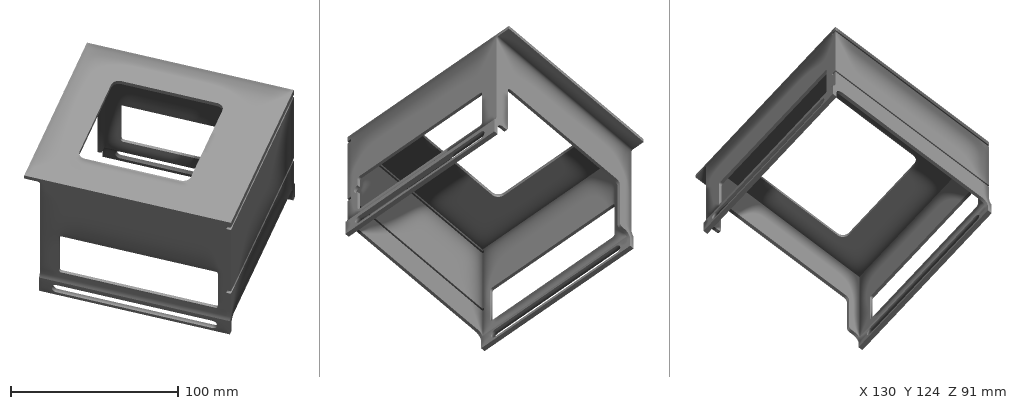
import cadquery as cq
import math

BODY_LENGTH = 120.0
BODY_WIDTH = 120.0
HEIGHT = 91.0
PLATE_THICKNESS = 2.5
END_WALL_THICKNESS = 2.0
SIDE_WALL_THICKNESS = 2.0

LIP_LENGTH = 10.0
LIP_FILLET = 1.5

FOOT_HEIGHT = 11.0
FOOT_OFFSET = 2.0
FOOT_THICKNESS = 3.0
FLARE_RADIUS = 8.0
FOOT_INNER_RADIUS = 5.0
FOOT_SLOT_LENGTH = 104.0
FOOT_SLOT_WIDTH = 6.0
FOOT_SLOT_Z = 5.0

TOP_OPENING = 70.0
TOP_OPENING_X = 15.0
TOP_OPENING_RADIUS = 5.0

WINDOW_LENGTH = 100.0
WINDOW_HEIGHT = 30.0
WINDOW_X = 11.8
WINDOW_Z = 17.4
WINDOW_RADIUS = 1.5
NOTCH_RADIUS = 3.0
NOTCH_Z = 37.0

FRONT_OPENING_WIDTH = 100.0
FRONT_OPENING_HEIGHT = 40.0
FRONT_OPENING_RADIUS = 3.0
FRONT_FLARE_RADIUS = 2.0

REAR_SLOT_HEIGHT = 2.0
REAR_SLOT_DEPTH = 3.0
REAR_SLOT_DROPS = (4.0, 57.0)

HALF_WIDTH = BODY_WIDTH / 2
FOOT_OUTER_Y = HALF_WIDTH + FOOT_OFFSET
FOOT_INNER_Y = FOOT_OUTER_Y - FOOT_THICKNESS
FULL_WIDTH = 2 * FOOT_OUTER_Y
FLARE_HEIGHT = math.sqrt(FLARE_RADIUS**2 - (FLARE_RADIUS - FOOT_OFFSET) ** 2)
FLARE_TOP_Z = FOOT_HEIGHT + FLARE_HEIGHT


def make_outer_profile():
    """Extrude the cross-section of the body and both feet along X, without the cavity."""
    half_angle = math.asin(FLARE_HEIGHT / FLARE_RADIUS) / 2
    flare_mid_y = HALF_WIDTH + FLARE_RADIUS * (1 - math.cos(half_angle))
    flare_mid_z = FLARE_TOP_Z - FLARE_RADIUS * math.sin(half_angle)
    inner_center_y = FOOT_INNER_Y - FOOT_INNER_RADIUS
    inner_center_z = FOOT_HEIGHT - FOOT_INNER_RADIUS
    inner_diagonal = FOOT_INNER_RADIUS * math.sqrt(0.5)
    half_profile = (
        cq.Workplane("YZ")
        .moveTo(0, HEIGHT)
        .lineTo(HALF_WIDTH, HEIGHT)
        .lineTo(HALF_WIDTH, FLARE_TOP_Z)
        .threePointArc((flare_mid_y, flare_mid_z), (FOOT_OUTER_Y, FOOT_HEIGHT))
        .lineTo(FOOT_OUTER_Y, 0)
        .lineTo(FOOT_INNER_Y, 0)
        .lineTo(FOOT_INNER_Y, inner_center_z)
        .threePointArc(
            (inner_center_y + inner_diagonal, inner_center_z + inner_diagonal),
            (inner_center_y, FOOT_HEIGHT),
        )
        .lineTo(0, FOOT_HEIGHT)
        .close()
        .extrude(BODY_LENGTH)
    )
    return half_profile.union(half_profile.mirror("XZ"))


def make_cavity():
    """Inside of the box, open at the bottom."""
    return cq.Workplane("XY").box(
        BODY_LENGTH - 2 * END_WALL_THICKNESS,
        BODY_WIDTH - 2 * SIDE_WALL_THICKNESS,
        HEIGHT - PLATE_THICKNESS,
        centered=(False, True, False),
    ).translate((END_WALL_THICKNESS, 0, 0))


def make_lip():
    """Overhang of the top plate, with a fillet where it meets the front wall."""
    plate_bottom = HEIGHT - PLATE_THICKNESS
    fillet_diagonal = LIP_FILLET * (1 - math.sqrt(0.5))
    return (
        cq.Workplane("XZ")
        .moveTo(END_WALL_THICKNESS, HEIGHT)
        .lineTo(-LIP_LENGTH, HEIGHT)
        .lineTo(-LIP_LENGTH, plate_bottom)
        .lineTo(-LIP_FILLET, plate_bottom)
        .threePointArc(
            (-fillet_diagonal, plate_bottom - fillet_diagonal),
            (0, plate_bottom - LIP_FILLET),
        )
        .lineTo(END_WALL_THICKNESS, plate_bottom - LIP_FILLET)
        .close()
        .extrude(HALF_WIDTH, both=True)
    )


def make_top_opening():
    """Rounded square through the top plate."""
    return (
        cq.Workplane("XY")
        .box(TOP_OPENING, TOP_OPENING, PLATE_THICKNESS, centered=(False, True, False))
        .edges("|Z")
        .fillet(TOP_OPENING_RADIUS)
        .translate((TOP_OPENING_X, 0, HEIGHT - PLATE_THICKNESS))
    )


def make_side_windows():
    """Rounded rectangle through both side walls."""
    return (
        cq.Workplane("XY")
        .box(WINDOW_LENGTH, FULL_WIDTH, WINDOW_HEIGHT, centered=(False, True, False))
        .edges("|Y")
        .fillet(WINDOW_RADIUS)
        .translate((WINDOW_X, 0, WINDOW_Z))
    )


def make_window_notch():
    """Half-round notch in the rear edge of the window in the +Y wall."""
    return (
        cq.Workplane("XZ", origin=(WINDOW_X + WINDOW_LENGTH, HALF_WIDTH, NOTCH_Z))
        .circle(NOTCH_RADIUS)
        .extrude(SIDE_WALL_THICKNESS)
    )


def make_foot_slots():
    """Long round-ended slot through both feet."""
    return (
        cq.Workplane("XZ", origin=(BODY_LENGTH / 2, 0, FOOT_SLOT_Z))
        .slot2D(FOOT_SLOT_LENGTH, FOOT_SLOT_WIDTH)
        .extrude(FOOT_OUTER_Y, both=True)
    )


def make_front_opening():
    """Opening through the front wall with rounded top corners and flared bottom corners."""
    half = FRONT_OPENING_WIDTH / 2
    flare = FRONT_FLARE_RADIUS
    opening = (
        cq.Workplane("XY")
        .box(END_WALL_THICKNESS, FRONT_OPENING_WIDTH, FRONT_OPENING_HEIGHT, centered=(False, True, False))
        .edges("|X and >Z")
        .fillet(FRONT_OPENING_RADIUS)
        .translate((0, 0, FOOT_HEIGHT))
    )
    for side in (1, -1):
        corner = (
            cq.Workplane("YZ")
            .rect(2 * flare, flare)
            .extrude(END_WALL_THICKNESS)
            .translate((0, side * half, FOOT_HEIGHT + flare / 2))
        )
        round_edge = (
            cq.Workplane("YZ")
            .center(side * (half + flare), FOOT_HEIGHT + flare)
            .circle(flare)
            .extrude(END_WALL_THICKNESS)
        )
        opening = opening.union(corner.cut(round_edge))
    return opening


def make_rear_slot(drop):
    """Slot across the whole width of the rear wall, its top edge at a drop below the plate top."""
    return cq.Workplane("XY").box(
        REAR_SLOT_DEPTH, FULL_WIDTH, REAR_SLOT_HEIGHT, centered=(False, True, False)
    ).translate((BODY_LENGTH - REAR_SLOT_DEPTH, 0, HEIGHT - drop - REAR_SLOT_HEIGHT))


result = make_outer_profile().cut(make_cavity()).union(make_lip())
result = result.cut(make_top_opening())
result = result.cut(make_side_windows())
result = result.cut(make_window_notch())
result = result.cut(make_foot_slots())
result = result.cut(make_front_opening())
for slot_drop in REAR_SLOT_DROPS:
    result = result.cut(make_rear_slot(slot_drop))